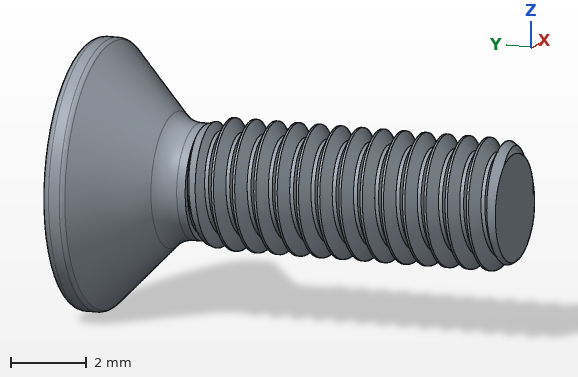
import cadquery as cq
import math

length = 12.0
head_radius = 3.65
head_rim_height = 0.58
head_edge_round = 0.19
rim_cone_round = 0.19
cone_height = 1.82

neck_round = 0.89
neck_length = 0.24

crest_radius = 1.76
root_radius = 1.39
pitch = 0.6
flank_angle = math.radians(30)
root_flat = 0.11
groove_phase = 0.08
groove_overshoot = 0.04

tip_radius = 1.51
tip_chamfer_height = 0.38
runout_height = 0.58

rim_bottom = length - head_rim_height
cone_bottom = rim_bottom - cone_height
neck_round_bottom = cone_bottom - neck_round * math.sin(math.pi / 4)
thread_top = neck_round_bottom - neck_length

cone_end_radius = head_radius - cone_height
neck_radius = cone_end_radius - neck_round * (1 - math.cos(math.pi / 4))


def make_head():
    """Head disc, countersink cone and rounded neck as one revolved profile."""
    arc_middle = (
        neck_radius + neck_round * (1 - math.cos(math.pi / 8)),
        neck_round_bottom + neck_round * math.sin(math.pi / 8),
    )
    head = (
        cq.Workplane("XZ")
        .moveTo(0, length)
        .lineTo(head_radius, length)
        .lineTo(head_radius, rim_bottom)
        .lineTo(cone_end_radius, cone_bottom)
        .threePointArc(arc_middle, (neck_radius, neck_round_bottom))
        .lineTo(neck_radius, thread_top)
        .lineTo(0, thread_top)
        .close()
        .revolve(360, (0, 0, 0), (0, 1, 0))
    )
    head = head.faces(">Z").edges().fillet(head_edge_round)
    rim_edge = cq.selectors.NearestToPointSelector((0, 0, rim_bottom))
    return head.edges("%CIRCLE").edges(rim_edge).fillet(rim_cone_round)


def make_shank_blank():
    """Unthreaded shank with a tip chamfer and a taper below the neck."""
    return (
        cq.Workplane("XZ")
        .moveTo(0, 0)
        .lineTo(tip_radius, 0)
        .lineTo(crest_radius, tip_chamfer_height)
        .lineTo(crest_radius, thread_top - runout_height)
        .lineTo(neck_radius, thread_top)
        .lineTo(0, thread_top)
        .close()
        .revolve(360, (0, 0, 0), (0, 1, 0))
    )


def make_groove_turn(centre_height):
    """One right-handed turn of the V groove, starting and ending on the +X side."""
    outer_radius = crest_radius + groove_overshoot
    root_half = root_flat / 2
    outer_half = root_half + (outer_radius - root_radius) * math.tan(flank_angle)
    corners = [
        (root_radius, -root_half),
        (outer_radius, -outer_half),
        (outer_radius, outer_half),
        (root_radius, root_half),
    ]
    helices = [
        cq.Wire.makeHelix(pitch, pitch, radius).translate(cq.Vector(0, 0, centre_height + offset))
        for radius, offset in corners
    ]
    next_helices = helices[1:] + helices[:1]
    faces = [cq.Face.makeRuledSurface(a, b) for a, b in zip(helices, next_helices)]
    for end_height in (centre_height, centre_height + pitch):
        section = [cq.Vector(radius, 0, end_height + offset) for radius, offset in corners]
        faces.append(cq.Face.makeFromWires(cq.Wire.makePolygon(section, close=True)))
    return cq.Workplane(obj=cq.Solid.makeSolid(cq.Shell.makeShell(faces)))


def make_threaded_shank():
    """Shank with the groove cut turn by turn, passing both of its ends."""
    shank = make_shank_blank()
    turns_above_tip = math.ceil((thread_top - groove_phase) / pitch)
    for turn in range(-1, turns_above_tip):
        shank = shank.cut(make_groove_turn(groove_phase + turn * pitch), clean=False)
    return shank


screw = make_head().union(make_threaded_shank(), clean=False)
result = screw.rotate((0, 0, 0), (1, 0, 0), -90)